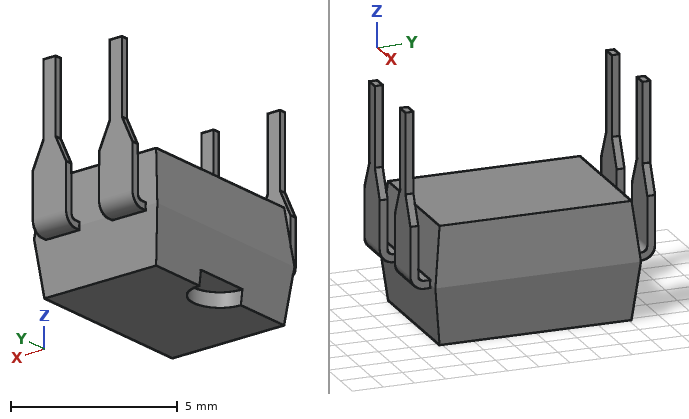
import cadquery as cq
import math

BODY_WIDTH = 4.72
BODY_LENGTH = 6.61
BODY_HEIGHT = 3.8
DRAFT_ANGLE = 6.6
PARTING_Z = BODY_HEIGHT / 2

NOTCH_RADIUS = 1.0
NOTCH_DEPTH = 0.5

LEAD_SPAN = 7.87
LEAD_PITCH = 2.54
LEAD_THICKNESS = 0.254
LEAD_WIDTH = 1.28
LEAD_TIP_WIDTH = 0.47
LEAD_TIP_Z = 7.3
SHOULDER_LOW_Z = BODY_HEIGHT
SHOULDER_HIGH_Z = 4.7
BEND_OUTER_RADIUS = 0.44
BEND_INNER_RADIUS = BEND_OUTER_RADIUS - LEAD_THICKNESS
LEAD_EMBED = 0.3


def body_half(direction):
    """Drafted half of the body, growing up (+1) or down (-1) from the parting plane."""
    return (
        cq.Workplane("XY", origin=(0, 0, PARTING_Z))
        .rect(BODY_WIDTH, BODY_LENGTH)
        .extrude(direction * BODY_HEIGHT / 2, taper=DRAFT_ANGLE)
    )


def orientation_notch():
    """Upright cylinder centred on the bottom edge of the -X side."""
    bottom_edge_x = -BODY_WIDTH / 2 + PARTING_Z * math.tan(math.radians(DRAFT_ANGLE))
    return (
        cq.Workplane("XY")
        .center(bottom_edge_x, 0)
        .circle(NOTCH_RADIUS)
        .extrude(NOTCH_DEPTH)
    )


def front_lead():
    """One lead on the -Y end, centred on X = 0."""
    outer_y = -LEAD_SPAN / 2
    inner_y = outer_y + LEAD_THICKNESS
    root_y = -BODY_LENGTH / 2 + LEAD_EMBED
    bottom_z = PARTING_Z - LEAD_THICKNESS / 2
    top_z = bottom_z + LEAD_THICKNESS
    bend_y = outer_y + BEND_OUTER_RADIUS
    bend_z = bottom_z + BEND_OUTER_RADIUS
    diagonal = math.cos(math.radians(45))

    bent_strip = (
        cq.Workplane("YZ")
        .moveTo(root_y, bottom_z)
        .lineTo(bend_y, bottom_z)
        .threePointArc(
            (bend_y - BEND_OUTER_RADIUS * diagonal, bend_z - BEND_OUTER_RADIUS * diagonal),
            (outer_y, bend_z),
        )
        .lineTo(outer_y, LEAD_TIP_Z)
        .lineTo(inner_y, LEAD_TIP_Z)
        .lineTo(inner_y, bend_z)
        .threePointArc(
            (bend_y - BEND_INNER_RADIUS * diagonal, bend_z - BEND_INNER_RADIUS * diagonal),
            (bend_y, top_z),
        )
        .lineTo(root_y, top_z)
        .close()
        .extrude(LEAD_WIDTH / 2, both=True)
    )
    blade_outline = (
        cq.Workplane("XZ")
        .moveTo(-LEAD_WIDTH / 2, bottom_z)
        .lineTo(LEAD_WIDTH / 2, bottom_z)
        .lineTo(LEAD_WIDTH / 2, SHOULDER_LOW_Z)
        .lineTo(LEAD_TIP_WIDTH / 2, SHOULDER_HIGH_Z)
        .lineTo(LEAD_TIP_WIDTH / 2, LEAD_TIP_Z)
        .lineTo(-LEAD_TIP_WIDTH / 2, LEAD_TIP_Z)
        .lineTo(-LEAD_TIP_WIDTH / 2, SHOULDER_HIGH_Z)
        .lineTo(-LEAD_WIDTH / 2, SHOULDER_LOW_Z)
        .close()
        .extrude(LEAD_SPAN / 2)
    )
    return bent_strip.intersect(blade_outline)


result = body_half(1).union(body_half(-1)).cut(orientation_notch())

lead = front_lead()
for lead_x in (-LEAD_PITCH / 2, LEAD_PITCH / 2):
    front = lead.translate((lead_x, 0, 0))
    result = result.union(front).union(front.mirror("XZ"))